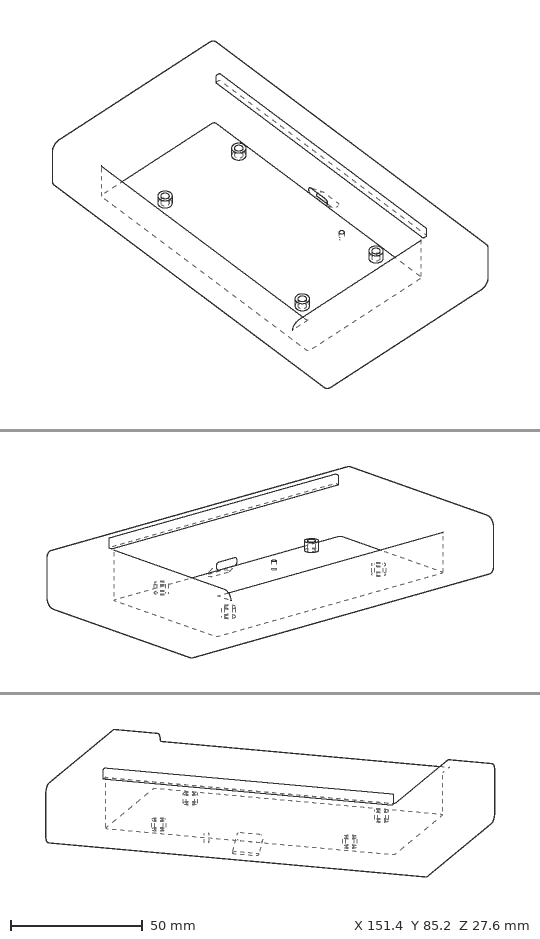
import cadquery as cq

length = 151.4
width = 85.2
body_height = 23.6
edge_radius = 4.0
floor_thickness = 3.3

pocket_length = 115.5
pocket_corner_radius = 1.0
front_wall = 8.5
back_wall = 17.9
pocket_front = -width / 2 + front_wall
pocket_back = width / 2 - back_wall

notch_depth = edge_radius
ledge_height = body_height - notch_depth

small_radius = 0.5

lip_gap = 0.8
lip_length = pocket_length
lip_thickness = 2.0
lip_height = 4.0

standoff_spacing_x = 76.3
standoff_spacing_y = 38.1
standoff_center_y = 0.2
standoff_diameter = 5.5
pilot_diameter = 3.2
standoff_height = 3.8
floor_hole_diameter = 2.0
floor_hole_x = 19.0
floor_hole_y = standoff_center_y + standoff_spacing_y / 2

slot_width = 10.5
slot_height = 2.3
slot_rise = 1.7
slot_slope = 45
slot_reach = 9.1


def make_body():
    block = cq.Workplane("XY").box(length, width, body_height, centered=(True, True, False))
    rounded = block.edges("|X").fillet(edge_radius)
    return rounded.faces("<X or >X").edges().fillet(small_radius)


def make_pocket():
    pocket = (
        cq.Workplane("XY")
        .box(pocket_length, pocket_back - pocket_front, body_height, centered=(True, False, False))
        .edges("|Z")
        .fillet(pocket_corner_radius)
    )
    return pocket.translate((0, pocket_front, floor_thickness))


def make_front_notch():
    notch_reach = front_wall + pocket_corner_radius
    notch = cq.Workplane("XY").box(pocket_length, notch_reach, body_height, centered=(True, False, False))
    notch = notch.edges("|Y and <Z").fillet(small_radius)
    return notch.translate((0, -width / 2, ledge_height))


def round_rim(body):
    """Round the edges around the pocket mouth and the ledge."""
    reach_x = pocket_length / 2 + small_radius
    rim = cq.selectors.BoxSelector(
        (-reach_x, -width / 2 - small_radius, ledge_height - small_radius),
        (reach_x, pocket_back + small_radius, body_height + small_radius),
    )
    return body.edges(rim).fillet(small_radius)


def make_lip():
    lip = (
        cq.Workplane("XY")
        .box(lip_length, lip_thickness, lip_height, centered=(True, False, False))
        .edges("not <Z")
        .fillet(small_radius)
    )
    return lip.translate((0, pocket_back + lip_gap, body_height))


def make_standoffs():
    return (
        cq.Workplane("XY", origin=(0, standoff_center_y, floor_thickness))
        .rect(standoff_spacing_x, standoff_spacing_y, forConstruction=True)
        .vertices()
        .circle(standoff_diameter / 2)
        .circle(pilot_diameter / 2)
        .extrude(standoff_height)
    )


def make_floor_hole():
    return (
        cq.Workplane("XY")
        .center(floor_hole_x, floor_hole_y)
        .circle(floor_hole_diameter / 2)
        .extrude(floor_thickness)
    )


def make_cable_slot():
    slot = cq.Workplane("XZ").slot2D(slot_width, slot_height).extrude(slot_reach, both=True)
    sloped = slot.rotate((0, 0, 0), (1, 0, 0), -slot_slope)
    return sloped.translate((0, pocket_back, floor_thickness + slot_rise))


case = round_rim(make_body().cut(make_pocket()).cut(make_front_notch()))
result = (
    case.union(make_lip())
    .union(make_standoffs())
    .cut(make_floor_hole())
    .cut(make_cable_slot())
)